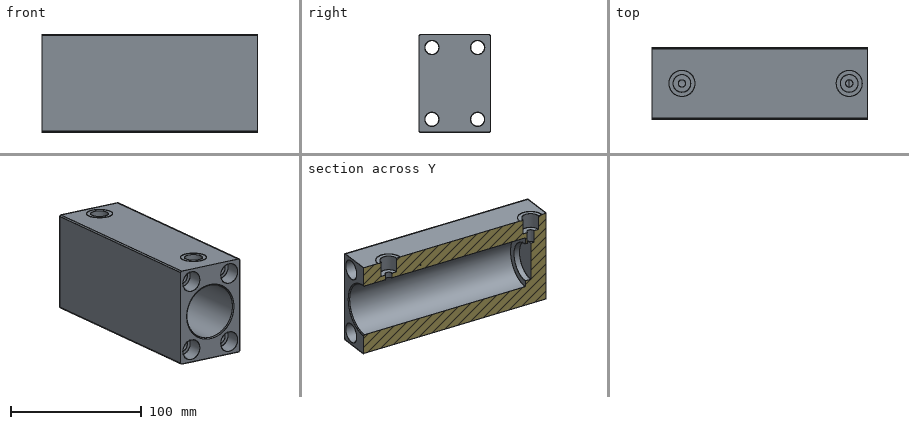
import cadquery as cq

length = 165.0
width = 55.0
height = 75.0
edge_chamfer = 1.0

bore_diameter = 42.0
bore_mouth_chamfer = 0.8
recess_diameter = 32.0
recess_length = 5.0

bolt_spacing_y = 35.0
bolt_spacing_z = 55.0
bolt_diameter = 10.5
counterbore_diameter = 15.7
counterbore_depth = 13.2

front_port_x = 23.0
rear_port_x = 151.0
spotface_diameter = 20.0
spotface_depth = 0.2
port_diameter = 13.5
port_depth = 12.0
passage_diameter = 5.6
passage_overlap = 0.58

bore_end_x = rear_port_x
recess_start_x = bore_end_x - recess_length
port_top_z = height / 2
passage_end_z = recess_diameter / 2 - passage_overlap


def make_body():
    body = cq.Workplane("XY").box(length, width, height, centered=(False, True, True))
    return body.edges("|X").chamfer(edge_chamfer)


def make_bore():
    """Bore, its chamfered mouth and the end recess, revolved about the X axis."""
    bore_radius = bore_diameter / 2
    recess_radius = recess_diameter / 2
    return (
        cq.Workplane("XZ")
        .moveTo(0, 0)
        .lineTo(0, bore_radius + bore_mouth_chamfer)
        .lineTo(bore_mouth_chamfer, bore_radius)
        .lineTo(recess_start_x, bore_radius)
        .lineTo(recess_start_x, recess_radius)
        .lineTo(bore_end_x, recess_radius)
        .lineTo(bore_end_x, 0)
        .close()
        .revolve(360, (0, 0, 0), (1, 0, 0))
    )


def make_bolt_holes():
    def drill(diameter, depth):
        return (
            cq.Workplane("YZ")
            .rect(bolt_spacing_y, bolt_spacing_z, forConstruction=True)
            .vertices()
            .circle(diameter / 2)
            .extrude(depth)
        )

    return drill(bolt_diameter, length).union(drill(counterbore_diameter, counterbore_depth))


def make_port(x):
    """Spotface, port and narrow passage drilled down from the top face."""
    def drill(diameter, depth):
        return cq.Workplane("XY", origin=(x, 0, port_top_z)).circle(diameter / 2).extrude(-depth)

    spotface = drill(spotface_diameter, spotface_depth)
    port = drill(port_diameter, port_depth)
    passage = drill(passage_diameter, port_top_z - passage_end_z)
    return spotface.union(port).union(passage)


result = make_body().cut(make_bore()).cut(make_bolt_holes())
for port_x in (front_port_x, rear_port_x):
    result = result.cut(make_port(port_x))